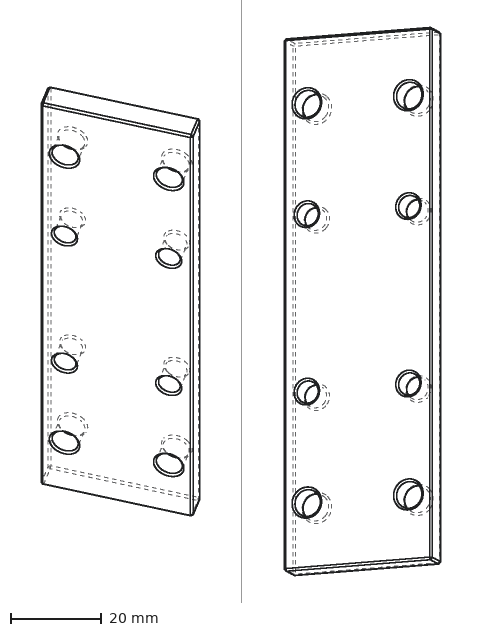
import cadquery as cq

width = 35.0
thickness = 6.0
height = 120.0
edge_chamfer = 0.5

column_offset = 12.0
outer_hole_diameter = 6.0
outer_hole_offset = 45.0
inner_hole_diameter = 5.0
inner_hole_offset = 20.0
hole_chamfer = 0.5


def make_plate():
    """Upright plate, centred on the origin, with every outer edge chamfered."""
    return cq.Workplane("XY").box(width, thickness, height).edges().chamfer(edge_chamfer)


def make_hole_cutter(diameter):
    """Cutter along Y that widens to a chamfer at both faces of the plate."""
    radius = diameter / 2
    mouth_radius = radius + hole_chamfer
    half_thickness = thickness / 2
    throat = half_thickness - hole_chamfer
    profile = [
        (0, -half_thickness),
        (mouth_radius, -half_thickness),
        (radius, -throat),
        (radius, throat),
        (mouth_radius, half_thickness),
        (0, half_thickness),
    ]
    return cq.Workplane("XY").polyline(profile).close().revolve(360, (0, 0), (0, 1))


def cut_hole_group(plate, diameter, row_offset):
    """Cut four equal holes, one in each quadrant of the plate."""
    cutter = make_hole_cutter(diameter)
    for x in (-column_offset, column_offset):
        for z in (-row_offset, row_offset):
            plate = plate.cut(cutter.translate((x, 0, z)))
    return plate


result = make_plate()
result = cut_hole_group(result, outer_hole_diameter, outer_hole_offset)
result = cut_hole_group(result, inner_hole_diameter, inner_hole_offset)